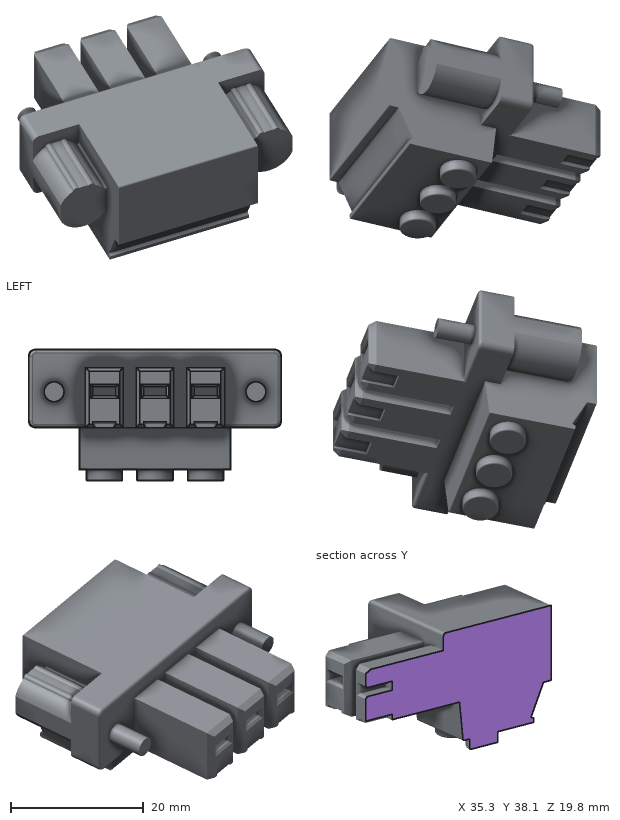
import cadquery as cq
import math


flange_length = 38.05
flange_thickness = 5.5
flange_top = 6.38
flange_bottom = -5.39
flange_corner_radius = 1.05
flange_front_radius = 0.5

body_width = 22.8
body_rear = 20.55
body_bottom = -11.72
rear_step_height = -5.71
front_wall_top_x = 3.05
front_wall_bottom_x = 3.72
slope_top_x = 19.02
slope_bottom_x = 16.68
lip_x = 17.2
lip_inner_height = -10.76
lip_outer_height = -10.95
body_edge_radius = 0.25

contact_pitch = 7.62
contact_count = 3
contact_width = 5.7
contact_length = 14.75
contact_top = 3.65
tip_length = 1.05
tip_inset = 0.53

pocket_width = 3.45
pocket_height = 1.35
pocket_depth = 5.0
pocket_center_height = 0.1
pocket_chamfer = 0.36

groove_depth = 0.86
groove_length = pocket_depth
groove_mouth_inset = 0.37
groove_mouth_height = 0.45

screw_x = 7.67
screw_diameter = 5.45
screw_bottom = -13.42
screw_edge_radius = 0.25

axis_y = 15.2
pin_diameter = 3.0
pin_length = 5.6
knob_radius = 4.15
knob_rear = 16.06
knob_root_radius = 0.26
rib_angle = 18.3
rib_center_radius = 3.83
rib_radius = 0.6
rib_foot_radius = 0.12

contact_positions = [(i - (contact_count - 1) / 2) * contact_pitch for i in range(contact_count)]


def box(x_range, y_range, z_range):
    """Box between the given limits."""
    limits = (x_range, y_range, z_range)
    size = [high - low for low, high in limits]
    corner = [low for low, high in limits]
    return cq.Workplane("XY").box(*size, centered=False).translate(tuple(corner))


def rod(x_start, x_end, y, z, radius):
    """Cylinder along X."""
    plane = cq.Workplane("YZ", origin=(x_start, y, z))
    return plane.circle(radius).extrude(x_end - x_start)


def make_flange():
    """Rounded plate whose lower front edge stays sharp along the row of contacts."""
    half = flange_length / 2
    flange = box((0, flange_thickness), (-half, half), (flange_bottom, flange_top))
    flange = flange.edges("|X").fillet(flange_corner_radius)
    flange = flange.faces("<X").edges().fillet(flange_front_radius)
    row_half = (contact_positions[-1] - contact_positions[0] + contact_width) / 2
    sharp_edge = box(
        (0, flange_thickness),
        (-row_half, row_half),
        (flange_bottom, flange_bottom + flange_front_radius),
    )
    return flange.union(sharp_edge)


def make_body():
    """Side outline of the body, swept over its width, with softened outer edges."""
    outline = [
        (front_wall_top_x, flange_top),
        (body_rear, flange_top),
        (body_rear, rear_step_height),
        (slope_top_x, rear_step_height),
        (slope_bottom_x, lip_inner_height),
        (lip_x, lip_outer_height),
        (lip_x, body_bottom),
        (front_wall_bottom_x, body_bottom),
        (front_wall_top_x, flange_bottom),
    ]
    body = cq.Workplane("XZ").polyline(outline).close().extrude(body_width / 2, both=True)
    body = body.faces(">X").edges("|Y").fillet(body_edge_radius)
    return body.faces("<Z").edges("|Y").fillet(body_edge_radius)


def contact_section(x, inset):
    """Rectangular contact outline at the given X, drawn in by the inset on all sides."""
    plane = cq.Workplane("YZ", origin=(x, 0, (contact_top + flange_bottom) / 2))
    return plane.rect(contact_width - 2 * inset, contact_top - flange_bottom - 2 * inset)


def make_contact():
    """Contact housing on Y = 0 with a tapered tip, a pocket and a groove."""
    half = contact_width / 2
    tip_x = -contact_length
    shaft_x = tip_x + tip_length
    tip_plane = contact_section(tip_x, tip_inset).workplane(offset=tip_length)
    tip = tip_plane.rect(contact_width, contact_top - flange_bottom).loft(combine=True)
    shaft = box((shaft_x, flange_thickness), (-half, half), (flange_bottom, contact_top))
    contact = shaft.union(tip)

    pocket_plane = cq.Workplane("YZ", origin=(tip_x, 0, pocket_center_height))
    pocket = pocket_plane.rect(pocket_width, pocket_height).extrude(pocket_depth)
    mouth = (
        pocket_plane.rect(pocket_width + 2 * pocket_chamfer, pocket_height + 2 * pocket_chamfer)
        .workplane(offset=pocket_chamfer)
        .rect(pocket_width, pocket_height)
        .loft(combine=True)
    )

    wide = pocket_width / 2
    narrow = wide - groove_mouth_inset
    groove_outline = [
        (-narrow, 0),
        (narrow, 0),
        (wide, groove_mouth_height),
        (wide, groove_depth),
        (-wide, groove_depth),
        (-wide, groove_mouth_height),
    ]
    groove_plane = cq.Workplane("YZ", origin=(tip_x, 0, flange_bottom))
    groove = groove_plane.polyline(groove_outline).close().extrude(groove_length)
    return contact.cut(pocket).cut(mouth).cut(groove)


def make_screw():
    """Screw head on Y = 0, reaching into the body by its own radius."""
    height = body_bottom - screw_bottom + screw_diameter / 2
    plane = cq.Workplane("XY", origin=(screw_x, 0, screw_bottom))
    screw = plane.circle(screw_diameter / 2).extrude(height)
    return screw.faces("<Z").edges().fillet(screw_edge_radius)


def make_knob_root():
    """Web on the body side whose top and bottom are concave arcs from knob to body."""
    wall_offset = axis_y - body_width / 2
    arc_y = wall_offset - knob_root_radius
    arc_z = math.sqrt((knob_radius + knob_root_radius) ** 2 - arc_y ** 2)
    touch_y = arc_y * knob_radius / (knob_radius + knob_root_radius)
    web = box(
        (flange_thickness, knob_rear),
        (axis_y - wall_offset, axis_y - touch_y),
        (-arc_z, arc_z),
    )
    for side in (-1, 1):
        arc = rod(flange_thickness, knob_rear, axis_y - arc_y, side * arc_z, knob_root_radius)
        web = web.cut(arc)
    return web


def is_rib_foot(edge):
    """True for an edge on the upper knob surface, where a rib meets it."""
    middle = edge.Center()
    tolerance = 0.001
    distance = math.hypot(middle.y - axis_y, middle.z)
    return middle.z > tolerance and abs(distance - knob_radius) < tolerance


def make_knob():
    """Knob on the +Y axis, with two grip ribs on top and cut flush with the flange end."""
    knob = rod(flange_thickness, knob_rear, axis_y, 0, knob_radius)
    for side in (-1, 1):
        angle = math.radians(side * rib_angle)
        rib_y = axis_y + rib_center_radius * math.sin(angle)
        rib_z = rib_center_radius * math.cos(angle)
        knob = knob.union(rod(flange_thickness, knob_rear, rib_y, rib_z, rib_radius))
    foot_edges = knob.edges("|X").filter(is_rib_foot)
    knob = foot_edges.fillet(rib_foot_radius)
    knob = knob.union(make_knob_root())
    envelope = box((flange_thickness, knob_rear), (0, flange_length / 2), (flange_bottom, flange_top))
    return knob.intersect(envelope)


result = make_flange().union(make_body())

contact = make_contact()
screw = make_screw()
for y in contact_positions:
    result = result.union(contact.translate((0, y, 0)))
    result = result.union(screw.translate((0, y, 0)))

knob = make_knob()
pin = rod(-pin_length, flange_thickness, axis_y, 0, pin_diameter / 2)
for fixing in (knob, pin):
    result = result.union(fixing)
    result = result.union(fixing.mirror("XZ"))